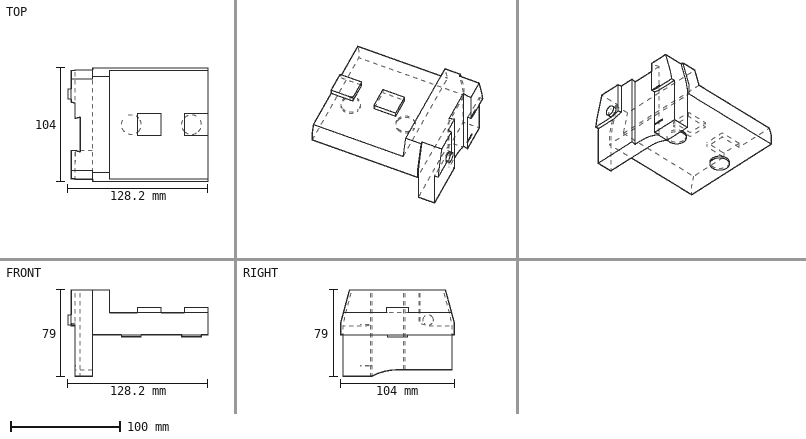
import cadquery as cq
import math


SLANT_ANGLE = 15.0
SLANT = math.tan(math.radians(SLANT_ANGLE))

TRAY_LENGTH = 105.5
TRAY_WIDTH = 104.0
TRAY_BEND_Z = 11.0
TRAY_TOP_Z = 20.25
TOP_Z = 41.0
SHOULDER_LENGTH = 15.5

LEG_FACE_X = -16.25
BOSS_DEPTH = 3.5
BOSS_FACE_X = LEG_FACE_X - BOSS_DEPTH
LEG_WIDTH = 100.0
HEAD_TOP_WIDTH = 83.5
HEAD_BEND_Z = 17.75
LEG_TOP_Z = 6.25
LEG_BOTTOM_Z = -38.0

RELIEF_Z = -32.1
RELIEF_RADIUS = 50.0

CHANNEL_LEFT_Y = 5.5
CHANNEL_RIGHT_Y = -23.5
CHANNEL_FLOOR_X = -11.5

LEFT_BOSS_EDGE_Y = 20.5
BOSS_BOTTOM_Z = 8.1
BOSS_RAMP_Y = 28.8

SLIT_LENGTH = 10.25
SLIT_DEPTH = 0.5
UPPER_SLIT_WIDTH = 0.2
UPPER_SLIT_Z = 9.5
LOWER_SLIT_WIDTH = 0.4
LOWER_SLIT_Z = -28.4

PIN_DIAMETER = 9.5
PIN_LENGTH = 3.0
PIN_Y = 28.0
PIN_Z = 13.5
PAD_LENGTH = 21.75
PAD_WIDTH = 20.0
PAD_HEIGHT = 4.75
PAD_START_XS = (40.75, TRAY_LENGTH - PAD_LENGTH)
FOOT_DIAMETER = 18.0
FOOT_HEIGHT = 2.0
FOOT_XS = (35.25, 90.25)

OVERCUT = 1.0


def box_between(x_range, y_range, z_range):
    """Box given by its lower and upper limit along each axis."""
    size = [high - low for low, high in (x_range, y_range, z_range)]
    low_corner = (x_range[0], y_range[0], z_range[0])
    return cq.Workplane("XY").box(*size, centered=False).translate(low_corner)


def extrude_along_x(right_half, x_start, x_end):
    """Mirror a half outline of (y, z) points about Y = 0 and extrude it along X."""
    left_half = [(-y, z) for y, z in reversed(right_half)]
    outline = cq.Workplane("YZ", origin=(x_start, 0, 0)).polyline(right_half + left_half).close()
    return outline.extrude(x_end - x_start)


def make_tray():
    """Full-height tapered body, lowered to the tray top beyond the shoulder."""
    half_width = TRAY_WIDTH / 2
    top_half_width = half_width - (TOP_Z - TRAY_BEND_Z) * SLANT
    profile = [(half_width, 0), (half_width, TRAY_BEND_Z), (top_half_width, TOP_Z)]
    body = extrude_along_x(profile, 0, TRAY_LENGTH)
    above_tray = box_between(
        (SHOULDER_LENGTH, TRAY_LENGTH + OVERCUT),
        (-TRAY_WIDTH, TRAY_WIDTH),
        (TRAY_TOP_Z, TOP_Z + OVERCUT),
    )
    return body.cut(above_tray)


def make_head():
    """Head block reaching forward to the boss face over its whole height."""
    half_width = LEG_WIDTH / 2
    bend_half_width = HEAD_TOP_WIDTH / 2 + (TOP_Z - HEAD_BEND_Z) * SLANT
    profile = [
        (half_width, LEG_BOTTOM_Z),
        (half_width, LEG_TOP_Z),
        (bend_half_width, HEAD_BEND_Z),
        (HEAD_TOP_WIDTH / 2, TOP_Z),
    ]
    return extrude_along_x(profile, BOSS_FACE_X, 0)


def below_bosses():
    """Material to clear in front of the leg face, with a ramped top edge on both sides."""
    ramp_peak_z = BOSS_BOTTOM_Z + BOSS_RAMP_Y * SLANT
    clear_z = LEG_BOTTOM_Z - OVERCUT
    profile = [
        (LEG_WIDTH, clear_z),
        (LEG_WIDTH, BOSS_BOTTOM_Z),
        (BOSS_RAMP_Y, BOSS_BOTTOM_Z),
        (0, ramp_peak_z),
        (-BOSS_RAMP_Y, BOSS_BOTTOM_Z),
        (-LEG_WIDTH, BOSS_BOTTOM_Z),
        (-LEG_WIDTH, clear_z),
    ]
    start = cq.Workplane("YZ", origin=(BOSS_FACE_X - OVERCUT, 0, 0))
    return start.polyline(profile).close().extrude(BOSS_DEPTH + OVERCUT)


def channel():
    """Dovetail channel together with the gap between the two bosses, open at both ends."""
    undercut = (CHANNEL_FLOOR_X - LEG_FACE_X) * SLANT
    boss_taper = BOSS_DEPTH * SLANT
    outline = [
        (BOSS_FACE_X, LEFT_BOSS_EDGE_Y),
        (LEG_FACE_X, LEFT_BOSS_EDGE_Y - boss_taper),
        (LEG_FACE_X, CHANNEL_LEFT_Y),
        (CHANNEL_FLOOR_X, CHANNEL_LEFT_Y + undercut),
        (CHANNEL_FLOOR_X, CHANNEL_RIGHT_Y - undercut),
        (LEG_FACE_X, CHANNEL_RIGHT_Y),
        (BOSS_FACE_X, CHANNEL_RIGHT_Y),
    ]
    start_z = LEG_BOTTOM_Z - OVERCUT
    start = cq.Workplane("XY", origin=(0, 0, start_z))
    return start.polyline(outline).close().extrude(TOP_Z + OVERCUT - start_z)


def underside_relief():
    """Raised underside of the head that curves down to the right-hand leg."""
    drop = RELIEF_Z - LEG_BOTTOM_Z
    arc_end_y = -math.sqrt(RELIEF_RADIUS**2 - (RELIEF_RADIUS - drop) ** 2)
    half_angle = math.asin(-arc_end_y / RELIEF_RADIUS) / 2
    arc_middle = (
        -RELIEF_RADIUS * math.sin(half_angle),
        RELIEF_Z - RELIEF_RADIUS * (1 - math.cos(half_angle)),
    )
    return (
        cq.Workplane("YZ", origin=(BOSS_FACE_X - OVERCUT, 0, 0))
        .moveTo(LEG_WIDTH, LEG_BOTTOM_Z)
        .lineTo(LEG_WIDTH, RELIEF_Z)
        .lineTo(0, RELIEF_Z)
        .threePointArc(arc_middle, (arc_end_y, LEG_BOTTOM_Z))
        .close()
        .extrude(-BOSS_FACE_X + OVERCUT)
    )


def slit(face_x, middle_z, width):
    """Thin horizontal groove in a front face, running outward from the channel edge."""
    return box_between(
        (face_x, face_x + SLIT_DEPTH),
        (CHANNEL_RIGHT_Y - SLIT_LENGTH, CHANNEL_RIGHT_Y),
        (middle_z - width / 2, middle_z + width / 2),
    )


def pin():
    """Round pin standing out of the left boss."""
    start = cq.Workplane("YZ", origin=(BOSS_FACE_X - PIN_LENGTH, PIN_Y, PIN_Z))
    return start.circle(PIN_DIAMETER / 2).extrude(PIN_LENGTH)


def pad(start_x):
    """Rectangular pad on top of the tray."""
    return box_between(
        (start_x, start_x + PAD_LENGTH),
        (-PAD_WIDTH / 2, PAD_WIDTH / 2),
        (TRAY_TOP_Z, TRAY_TOP_Z + PAD_HEIGHT),
    )


def foot(centre_x):
    """Round foot under the tray."""
    start = cq.Workplane("XY", origin=(centre_x, 0, -FOOT_HEIGHT))
    return start.circle(FOOT_DIAMETER / 2).extrude(FOOT_HEIGHT)


head = make_head().cut(below_bosses()).cut(channel()).cut(underside_relief())
head = head.cut(slit(BOSS_FACE_X, UPPER_SLIT_Z, UPPER_SLIT_WIDTH))
head = head.cut(slit(LEG_FACE_X, LOWER_SLIT_Z, LOWER_SLIT_WIDTH))

result = make_tray().union(head).union(pin())
for pad_start_x in PAD_START_XS:
    result = result.union(pad(pad_start_x))
for foot_x in FOOT_XS:
    result = result.union(foot(foot_x))